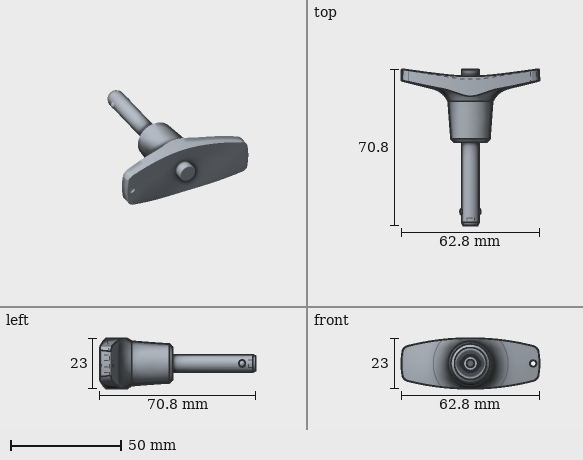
import cadquery as cq
import math


total_length = 70.8
handle_length = 62.8
handle_width = 23.0

pin_diameter = 8.0
pin_reach = 37.7
pin_nose_length = 1.55
pin_nose_radius = 3.25
tip_hole_diameter = 3.5
tip_hole_depth = tip_hole_diameter

ball_diameter = 3.5
ball_span = 9.5
ball_from_tip = 6.3

button_round = 0.6

collar_height = 18.75
collar_root_radius = 10.1
collar_front_radius = 8.85
collar_chamfer = 1.6

flare_radius = 17.0
flare_height = 24.4

wing_under_slope = 0.25
wing_top_slope = 0.16
wing_tip_height = 33.2
wing_tip_draft = 0.105
tip_edge_round = 0.5
outline_clearance = 0.035
side_radius = 116.1
corner_radius = 3.8
lanyard_hole_diameter = 2.8
lanyard_hole_x = 28.45

pin_radius = pin_diameter / 2
tip_y = -pin_reach
button_top = total_length - pin_reach
tip_radius = handle_length / 2
half_width = handle_width / 2
dish_centre_height = wing_tip_height - wing_top_slope * tip_radius
wing_tip_underside = flare_height + wing_under_slope * (tip_radius - flare_radius)
outline_end_radius = tip_radius + outline_clearance

side_centre_offset = side_radius - half_width
corner_z = (side_radius**2 - side_centre_offset**2 - outline_end_radius**2) / (2 * side_centre_offset)
corner_x = math.sqrt(outline_end_radius**2 - corner_z**2)


def make_turned_handle():
    """Collar, flare and dished wing disc, all turned about the pin axis."""
    profile = (
        cq.Workplane("XY")
        .moveTo(0, dish_centre_height)
        .lineTo(tip_radius - wing_tip_draft, wing_tip_height)
        .lineTo(tip_radius, wing_tip_underside)
        .lineTo(flare_radius, flare_height)
        .tangentArcPoint((collar_root_radius, collar_height), relative=False)
        .lineTo(collar_front_radius, collar_chamfer)
        .lineTo(collar_front_radius - collar_chamfer, 0)
        .lineTo(0, 0)
        .close()
    )
    rim_margin = 0.7
    disc = profile.revolve(360, (0, 0, 0), (0, 1, 0))
    rim = cq.selectors.BoxSelector(
        (-handle_length, flare_height + rim_margin, -handle_length),
        (handle_length, total_length, handle_length),
        boundingbox=True,
    )
    return disc.edges("%CIRCLE").edges(rim).fillet(tip_edge_round)


def make_outline():
    """Barrel-shaped prism that trims the turned disc into two wings."""
    outline = (
        cq.Workplane("XZ")
        .moveTo(-corner_x, corner_z)
        .threePointArc((0, half_width), (corner_x, corner_z))
        .threePointArc((outline_end_radius, 0), (corner_x, -corner_z))
        .threePointArc((0, -half_width), (-corner_x, -corner_z))
        .threePointArc((-outline_end_radius, 0), (-corner_x, corner_z))
        .close()
    )
    return outline.extrude(-total_length).edges("|Y").fillet(corner_radius)


def make_pin():
    """Pin and release button in one bar, with a tapered nose and a tip hole."""
    bar = (
        cq.Workplane("XY")
        .moveTo(0, tip_y)
        .lineTo(pin_nose_radius, tip_y)
        .lineTo(pin_radius, tip_y + pin_nose_length)
        .lineTo(pin_radius, button_top)
        .lineTo(0, button_top)
        .close()
        .revolve(360, (0, 0, 0), (0, 1, 0))
        .faces(">Y")
        .edges()
        .fillet(button_round)
    )
    hole = (
        cq.Workplane("XZ", origin=(0, tip_y, 0))
        .circle(tip_hole_diameter / 2)
        .extrude(-tip_hole_depth)
    )
    return bar.cut(hole)


def make_ball(side):
    """Locking ball standing out of the pin on the given side (+1 or -1)."""
    centre_x = side * (ball_span - ball_diameter) / 2
    ball = cq.Workplane("XY").sphere(ball_diameter / 2)
    return ball.translate((centre_x, tip_y + ball_from_tip, 0))


def make_lanyard_hole():
    """Through hole near the +X wing tip."""
    return (
        cq.Workplane("XZ")
        .center(lanyard_hole_x, 0)
        .circle(lanyard_hole_diameter / 2)
        .extrude(-total_length)
    )


handle = make_turned_handle().intersect(make_outline()).cut(make_lanyard_hole())
result = handle.union(make_pin())
for side in (-1, 1):
    result = result.union(make_ball(side))